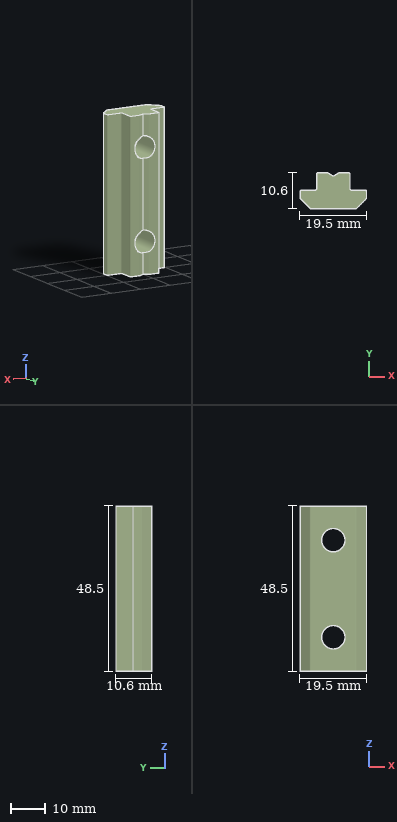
import cadquery as cq
import math

length = 48.5
base_width = 19.5
total_depth = 10.6

base_thickness = 5.5
stem_width = 9.8
base_chamfer = 3.0
edge_radius = 0.4

groove_depth = 1.0
groove_flank_angle = 31.0
groove_lip_radius = 1.0

hole_diameter = 6.8
hole_end_distance = 10.0

half_base = base_width / 2
half_stem = stem_width / 2
groove_half_width = groove_depth / math.tan(math.radians(groove_flank_angle))

match_tolerance = 0.01


def right_half_outline():
    """Corners of the right half of the section, from the base up to the groove lip."""
    return [
        (half_base - base_chamfer, 0),
        (half_base, base_chamfer),
        (half_base, base_thickness),
        (half_stem, base_thickness),
        (half_stem, total_depth),
        (groove_half_width, total_depth),
    ]


def mirrored(points):
    """Section points reflected across the middle plane, in reverse order."""
    return [(-x, y) for x, y in reversed(points)]


def lengthwise_edges_at(body, points):
    """Edges along Z that pass through the given section points."""

    def is_at_point(edge):
        center = edge.Center()
        return any(math.hypot(center.x - x, center.y - y) < match_tolerance for x, y in points)

    return body.edges("|Z").filter(is_at_point)


def make_rail():
    """Grooved T-section extruded along Z, with its lengthwise edges rounded."""
    right_side = right_half_outline()
    left_side = mirrored(right_side)
    groove_bottom = (0, total_depth - groove_depth)
    outline = right_side + [groove_bottom] + left_side
    body = cq.Workplane("XY").polyline(outline).close().extrude(length)

    corners = right_side[:-1] + left_side[1:]
    groove_lips = [right_side[-1], left_side[0]]
    body = lengthwise_edges_at(body, corners).fillet(edge_radius)
    return lengthwise_edges_at(body, groove_lips).fillet(groove_lip_radius)


def cut_holes(body):
    """Plain holes through the full depth, one near each end."""
    for height in (hole_end_distance, length - hole_end_distance):
        drill = (
            cq.Workplane("XZ", origin=(0, total_depth, height))
            .circle(hole_diameter / 2)
            .extrude(total_depth)
        )
        body = body.cut(drill)
    return body


result = cut_holes(make_rail())